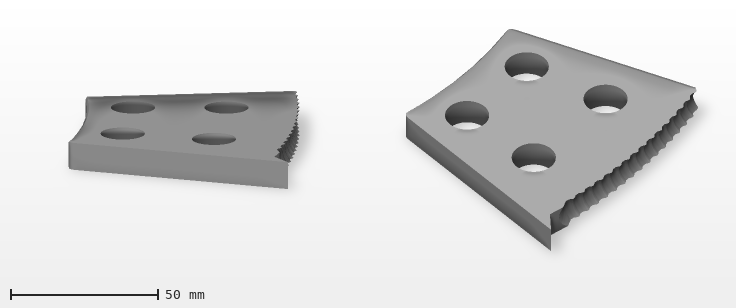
import cadquery as cq
import math

THICKNESS = 9.49
HALF_THICKNESS = THICKNESS / 2
SEGMENT_ANGLE = 360 / 15
INNER_RADIUS = 140.25
CORNER_RADIUS = 3.2

ARC_CHAMFER_HEIGHT = 0.8
ARC_CHAMFER_WIDTH = 0.8
SIDE_CHAMFER_HEIGHT = 0.6
SIDE_CHAMFER_WIDTH = 1.4

POINT_X = 219.6
FOOT_LENGTH = 6.5
FOOT_HEIGHT = 4.9
LAND_X = POINT_X - FOOT_LENGTH

HOLE_DIAMETER = 15.0
HOLE_CIRCLE_RADII = (156.0, 187.7)
HOLE_ANGLES = (SEGMENT_ANGLE / 4, SEGMENT_ANGLE * 3 / 4)

WHEEL_TEETH = 286
TOOTH_PITCH_ANGLE = 360 / WHEEL_TEETH
TIP_RADIUS = 212.5
THROAT_RADIUS = 7.0
GROOVE_DEPTH = 0.8
GROOVE_COUNT = 17
FIRST_GROOVE_ANGLE = 3.82
GROOVE_TWIST = TOOTH_PITCH_ANGLE / 2
THROAT_START_ANGLE = FIRST_GROOVE_ANGLE + GROOVE_TWIST / 2
GROOVE_ROOT_SHARE = 0.3
GROOVE_MOUTH_SHARE = 0.85
GROOVE_SECTIONS = 5
WORM_AXIS_RADIUS = TIP_RADIUS + math.sqrt(THROAT_RADIUS**2 - HALF_THICKNESS**2)

GROOVE_CLEARANCE = 3.6
CLEARANCE = 1.0


def polar(radius, angle):
    a = math.radians(angle)
    return (radius * math.cos(a), radius * math.sin(a))


def throat_tip_radius(z):
    """Tooth tip radius at height z, following the round throat."""
    return WORM_AXIS_RADIUS - math.sqrt(THROAT_RADIUS**2 - z**2)


def make_blank():
    rim_radius = LAND_X / math.cos(math.radians(THROAT_START_ANGLE))
    blank = (
        cq.Workplane("XY")
        .workplane(offset=-HALF_THICKNESS)
        .moveTo(INNER_RADIUS, 0)
        .lineTo(POINT_X, 0)
        .lineTo(LAND_X, FOOT_HEIGHT)
        .lineTo(*polar(rim_radius, THROAT_START_ANGLE))
        .threePointArc(
            polar(rim_radius, (THROAT_START_ANGLE + SEGMENT_ANGLE) / 2),
            polar(rim_radius, SEGMENT_ANGLE),
        )
        .lineTo(*polar(INNER_RADIUS, SEGMENT_ANGLE))
        .threePointArc(polar(INNER_RADIUS, SEGMENT_ANGLE / 2), (INNER_RADIUS, 0))
        .close()
        .extrude(THICKNESS)
    )
    lower_corner = cq.selectors.NearestToPointSelector((INNER_RADIUS, 0, 0))
    upper_corner = cq.selectors.NearestToPointSelector((*polar(INNER_RADIUS, SEGMENT_ANGLE), 0))
    return blank.edges(lower_corner).fillet(CORNER_RADIUS).edges(upper_corner).fillet(CORNER_RADIUS)


def on_both_faces(body):
    return body.union(body.mirror("XY"))


def arc_chamfer_cutter():
    """Cone that breaks the edges of the concave inner arc."""
    slope = ARC_CHAMFER_HEIGHT / ARC_CHAMFER_WIDTH
    ring = (
        cq.Workplane("XZ")
        .moveTo(INNER_RADIUS - CLEARANCE, HALF_THICKNESS - ARC_CHAMFER_HEIGHT - slope * CLEARANCE)
        .lineTo(INNER_RADIUS + ARC_CHAMFER_WIDTH + CLEARANCE, HALF_THICKNESS + slope * CLEARANCE)
        .lineTo(INNER_RADIUS - CLEARANCE, HALF_THICKNESS + slope * CLEARANCE)
        .close()
        .revolve(360, (0, 0), (0, 1))
    )
    return on_both_faces(ring)


def side_chamfer_cutter():
    """Wedge along the straight side at the end of the segment."""
    slope = SIDE_CHAMFER_HEIGHT / SIDE_CHAMFER_WIDTH
    wedge = (
        cq.Workplane("YZ")
        .moveTo(CLEARANCE, HALF_THICKNESS - SIDE_CHAMFER_HEIGHT - slope * CLEARANCE)
        .lineTo(-SIDE_CHAMFER_WIDTH - CLEARANCE, HALF_THICKNESS + slope * CLEARANCE)
        .lineTo(CLEARANCE, HALF_THICKNESS + slope * CLEARANCE)
        .close()
        .extrude(POINT_X)
        .rotate((0, 0, 0), (0, 0, 1), SEGMENT_ANGLE)
    )
    return on_both_faces(wedge)


def throat_cutter():
    """Band that turns the rim to the round throat from inside the first groove onwards."""
    outer = POINT_X + CLEARANCE
    return (
        cq.Workplane("XZ")
        .moveTo(TIP_RADIUS, -HALF_THICKNESS)
        .threePointArc((throat_tip_radius(0), 0), (TIP_RADIUS, HALF_THICKNESS))
        .lineTo(outer, HALF_THICKNESS)
        .lineTo(outer, -HALF_THICKNESS)
        .close()
        .revolve(SEGMENT_ANGLE, (0, 0), (0, 1))
        .rotate((0, 0, 0), (0, 0, 1), THROAT_START_ANGLE)
    )


def groove_section(z):
    """Trapezoidal section of the first groove at height z."""
    worm_turn = math.asin(z / THROAT_RADIUS) / math.asin(HALF_THICKNESS / THROAT_RADIUS)
    angle = FIRST_GROOVE_ANGLE + GROOVE_TWIST * (1 - worm_turn) / 2
    half_root = GROOVE_ROOT_SHARE * TOOTH_PITCH_ANGLE / 2
    half_mouth = GROOVE_MOUTH_SHARE * TOOTH_PITCH_ANGLE / 2
    flare = (half_mouth - half_root) / GROOVE_DEPTH
    half_outer = half_mouth + flare * GROOVE_CLEARANCE
    root = throat_tip_radius(z) - GROOVE_DEPTH
    outer = throat_tip_radius(z) + GROOVE_CLEARANCE
    corners = (
        (root, angle - half_root),
        (outer, angle - half_outer),
        (outer, angle + half_outer),
        (root, angle + half_root),
    )
    return cq.Wire.makePolygon([cq.Vector(*polar(r, a), z) for r, a in corners], close=True)


def groove_cutters():
    step = THICKNESS / (GROOVE_SECTIONS - 1)
    sections = [groove_section(-HALF_THICKNESS + i * step) for i in range(GROOVE_SECTIONS)]
    groove = cq.Solid.makeLoft(sections)
    origin = cq.Vector(0, 0, 0)
    axis = cq.Vector(0, 0, 1)
    return [groove.rotate(origin, axis, i * TOOTH_PITCH_ANGLE) for i in range(GROOVE_COUNT)]


def hole_cutter():
    centres = [polar(radius, angle) for radius in HOLE_CIRCLE_RADII for angle in HOLE_ANGLES]
    return (
        cq.Workplane("XY")
        .workplane(offset=-HALF_THICKNESS)
        .pushPoints(centres)
        .circle(HOLE_DIAMETER / 2)
        .extrude(THICKNESS)
    )


segment = (
    make_blank()
    .cut(arc_chamfer_cutter())
    .cut(side_chamfer_cutter())
    .cut(hole_cutter())
    .cut(throat_cutter())
)
toothed_segment = segment.solids().val().cut(*groove_cutters())

result = cq.Workplane(toothed_segment).solids()